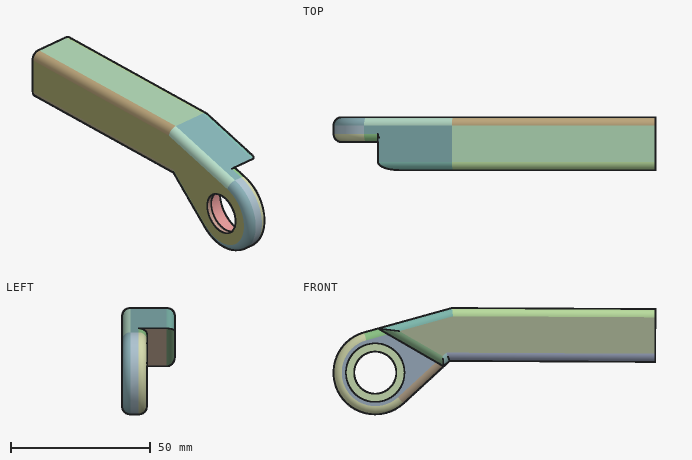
import cadquery as cq
import math

eye_radius = 15.0
eye_thickness = 9.0
bore_diameter = 15.0
counterbore_diameter = 21.0
counterbore_depth = 7.0

bar_size = 19.0
bar_end_x = 100.4
bar_top_z = 23.2
bar_droop = math.radians(0.3)
top_bend_x = 27.5
bottom_bend_x = 26.7

shoulder_angle = math.radians(30)
shoulder_distance = 14.2

edge_radius = 3.0
back_y = 0.0
eye_front_y = back_y - eye_thickness
bar_front_y = back_y - bar_size


def tangent_point(point, side):
    """Point where the line from point touches the eye; side is +1 above, -1 below."""
    distance = math.hypot(point[0], point[1])
    angle = math.atan2(point[1], point[0]) + side * math.acos(eye_radius / distance)
    return eye_radius * math.cos(angle), eye_radius * math.sin(angle)


def extrude_forward(outline_at, start_y, end_y):
    """Extrude an outline in the XZ plane towards -Y."""
    plane = cq.Workplane("XZ", origin=(0, start_y, 0))
    return outline_at(plane).extrude(start_y - end_y)


def lever_outline(plane):
    """Eye arc with tangent arms running into the bar."""
    slope = math.tan(bar_droop)
    top_bend = (top_bend_x, bar_top_z)
    top_end = (bar_end_x, bar_top_z - slope * (bar_end_x - top_bend_x))
    bottom_end = (
        top_end[0] - bar_size * math.sin(bar_droop),
        top_end[1] - bar_size * math.cos(bar_droop),
    )
    bottom_bend = (bottom_bend_x, bottom_end[1] + slope * (bottom_end[0] - bottom_bend_x))
    return (
        plane.moveTo(*top_bend)
        .lineTo(*top_end)
        .lineTo(*bottom_end)
        .lineTo(*bottom_bend)
        .lineTo(*tangent_point(bottom_bend, -1))
        .threePointArc((-eye_radius, 0), tangent_point(top_bend, 1))
        .close()
    )


def shoulder_region(plane):
    """Everything on the bar side of the shoulder line, generously oversized."""
    reach = 2 * bar_end_x
    normal = (math.sin(shoulder_angle), math.cos(shoulder_angle))
    along = (normal[1], -normal[0])
    corners = [
        (
            shoulder_distance * normal[0] + u * along[0] + v * normal[0],
            shoulder_distance * normal[1] + u * along[1] + v * normal[1],
        )
        for u, v in [(-reach, 0), (reach, 0), (reach, reach), (-reach, reach)]
    ]
    return plane.polyline(corners).close()


def round_face_edges(body, face):
    """Round the rim of a face, leaving the edge at the bar's free end sharp."""
    return body.faces(face).edges("not(>X)").fillet(edge_radius)


thin_layer = extrude_forward(lever_outline, back_y, eye_front_y)
thin_layer = round_face_edges(thin_layer, ">Y")
thin_layer = round_face_edges(thin_layer, "<Y")

overlap_y = back_y - eye_thickness / 2
thick_layer = extrude_forward(lever_outline, overlap_y, bar_front_y)
thick_layer = thick_layer.intersect(extrude_forward(shoulder_region, overlap_y, bar_front_y))
thick_layer = round_face_edges(thick_layer, "<Y")

bore = cq.Workplane("XZ").circle(bore_diameter / 2).extrude(eye_thickness)
counterbore = (
    cq.Workplane("XZ", origin=(0, eye_front_y + counterbore_depth, 0))
    .circle(counterbore_diameter / 2)
    .extrude(counterbore_depth)
)

result = thin_layer.union(thick_layer).cut(bore).cut(counterbore)